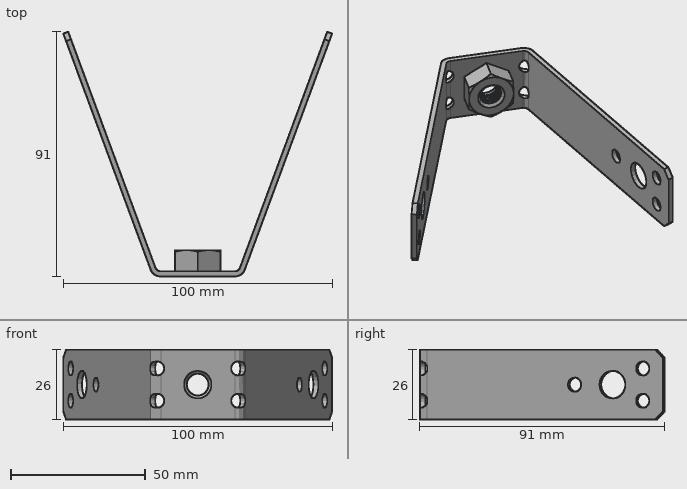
import cadquery as cq
import math

width = 26.0
thickness = 2.0
overall_span = 100.0
base_half = 13.8
lean = 20.3
inner_radius = 2.0
outer_radius = inner_radius + thickness
middle_radius = inner_radius + thickness / 2
tip_chamfer = 3.0

bend_angle = 90 - lean
bend_radians = math.radians(bend_angle)
bend_length = middle_radius * bend_radians
leg_start_x = base_half + outer_radius * math.sin(bend_radians)
leg_length = (overall_span / 2 - leg_start_x) / math.cos(bend_radians)

small_diameter = 5.2
large_diameter = 10.2
row_offset = 6.0
pair_from_tip = 8.0
large_from_tip = 20.0
single_from_tip = 35.0
bend_hole_offset = 1.3

nut_flats = 17.0
nut_height = 7.8
nut_chamfer_angle = 25
thread_minor = 8.0
thread_major = 10.0
thread_pitch = 1.5
thread_flat = thread_pitch / 4

clearance = 1.0

outward = (math.sin(bend_radians), -math.cos(bend_radians), 0)
leg_plane = cq.Plane(
    origin=(leg_start_x, outer_radius * (1 - math.cos(bend_radians)), 0),
    xDir=(math.cos(bend_radians), math.sin(bend_radians), 0),
    normal=outward,
)


def make_leg():
    """Straight leg with chamfered tip corners and its four holes."""
    leg = (
        cq.Workplane(leg_plane)
        .center(leg_length / 2, 0)
        .rect(leg_length, width)
        .extrude(-thickness)
    )
    tip_corners = cq.selectors.BoxSelector(
        leg_plane.toWorldCoords((leg_length - clearance, -width, -2 * thickness)),
        leg_plane.toWorldCoords((leg_length + clearance, width, thickness)),
    )
    leg = leg.edges(cq.selectors.ParallelDirSelector(cq.Vector(*outward)))
    leg = leg.edges(tip_corners).chamfer(tip_chamfer)
    small_holes = [
        (leg_length - pair_from_tip, -row_offset),
        (leg_length - pair_from_tip, row_offset),
        (leg_length - single_from_tip, 0),
    ]
    cutters = cq.Workplane(leg_plane).pushPoints(small_holes).circle(small_diameter / 2)
    leg = leg.cut(cutters.extrude(-thickness))
    large_hole = cq.Workplane(leg_plane).center(leg_length - large_from_tip, 0)
    return leg.cut(large_hole.circle(large_diameter / 2).extrude(-thickness))


def make_bend():
    """Ring segment joining the base to a leg."""
    return (
        cq.Workplane("YZ", origin=(base_half, 0, 0))
        .center(thickness / 2, 0)
        .rect(thickness, width)
        .revolve(
            bend_angle,
            (outer_radius - thickness / 2, 0),
            (outer_radius - thickness / 2, 1),
        )
    )


def bend_hole_section(angle, height):
    """Radial rectangle across the bend: one slice of a hole that follows it."""
    low = inner_radius - clearance
    high = outer_radius + clearance
    slice_plane = cq.Plane(
        origin=(base_half, outer_radius, height),
        xDir=(math.sin(angle), -math.cos(angle), 0),
        normal=(math.cos(angle), math.sin(angle), 0),
    )
    along = middle_radius * angle - bend_hole_offset
    half_height = math.sqrt((small_diameter / 2) ** 2 - along**2)
    slice_outline = cq.Workplane(slice_plane).center((low + high) / 2, 0)
    return slice_outline.rect(high - low, 2 * half_height).wires().val()


def cut_bend_hole(base, bend, leg, height):
    """Cut one round hole that was made in the flat strip and then bent with it."""
    radius = small_diameter / 2
    base_tool = cq.Workplane("XZ", origin=(base_half + bend_hole_offset, 0, height))
    base = base.cut(base_tool.circle(radius).extrude(-thickness))

    leg_tool = cq.Workplane(leg_plane).center(bend_hole_offset - bend_length, height)
    leg = leg.cut(leg_tool.circle(radius).extrude(-thickness))

    steps = 8
    sections = [
        bend_hole_section(bend_radians * step / steps, height) for step in range(steps + 1)
    ]
    bend = bend.cut(cq.Workplane(cq.Solid.makeLoft(sections)))
    return base, bend, leg


def make_half_strip():
    """The +X half of the strip, with its bend holes."""
    base = cq.Workplane("XY").box(base_half, thickness, width, centered=(False, False, True))
    bend = make_bend()
    leg = make_leg()
    for height in (-row_offset, row_offset):
        base, bend, leg = cut_bend_hole(base, bend, leg, height)
    return base.union(bend).union(leg)


def make_nut():
    """Nut blank with the corners of its free end chamfered."""
    corner_diameter = nut_flats / math.cos(math.radians(30))
    blank = (
        cq.Workplane("XZ", origin=(0, thickness, 0))
        .transformed(rotate=(0, 0, 90))
        .polygon(6, corner_diameter)
        .extrude(-nut_height)
    )
    corner_radius = corner_diameter / 2
    face_radius = nut_flats / 2
    drop = (corner_radius - face_radius) * math.tan(math.radians(nut_chamfer_angle))
    top = thickness + nut_height
    envelope = (
        cq.Workplane("XY")
        .moveTo(0, thickness)
        .lineTo(corner_radius, thickness)
        .lineTo(corner_radius, top - drop)
        .lineTo(face_radius, top)
        .lineTo(0, top)
        .close()
        .revolve(360, (0, 0), (0, 1))
    )
    return blank.intersect(envelope)


def make_bore():
    """Base clearance hole, entry cones and ring grooves standing for the thread."""
    minor = thread_minor / 2
    major = thread_major / 2
    entry = large_diameter / 2
    cone_depth = entry - minor
    top = thickness + nut_height
    thread_start = thickness + cone_depth
    groove_count = math.floor((nut_height - 2 * cone_depth) / thread_pitch)
    profile = (
        cq.Workplane("XY")
        .moveTo(0, 0)
        .lineTo(entry, 0)
        .lineTo(entry, thickness)
        .lineTo(minor, thread_start)
    )
    for groove in range(groove_count):
        groove_start = thread_start + groove * thread_pitch
        profile = profile.lineTo(minor, groove_start + thread_flat)
        profile = profile.lineTo(major, groove_start + 2 * thread_flat)
        profile = profile.lineTo(major, groove_start + 3 * thread_flat)
        profile = profile.lineTo(minor, groove_start + thread_pitch)
    profile = profile.lineTo(minor, top - cone_depth).lineTo(entry, top).lineTo(0, top)
    return profile.close().revolve(360, (0, 0), (0, 1))


half_strip = make_half_strip()
strip = half_strip.union(half_strip.mirror("YZ"))
result = strip.union(make_nut()).cut(make_bore())